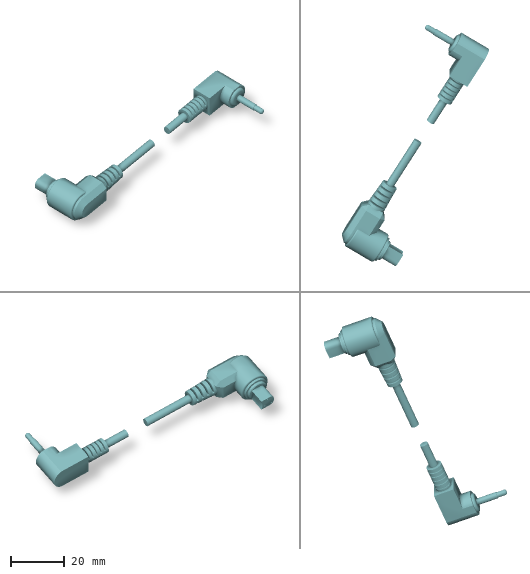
import cadquery as cq


cable_radius = 1.57
plug_cable_length = 20.0
jack_cable_length = 10.0
cable_gap = 8.85

elbow_half_width = 5.1
elbow_chamfer = 2.05
elbow_top = 13.0
barrel_radius = 6.02
barrel_left = -9.98
barrel_right = 2.1
barrel_fillet = 0.5
outer_collar_radius = 4.95
outer_collar_length = 0.9
inner_collar_radius = 4.1
inner_collar_length = 1.1
inner_collar_chamfer = 0.25

tip_left = -18.28
tip_half_width = 2.85
tip_half_height = 2.4
tip_corner_radius = 2.0
tip_groove_depth = 0.6
contact_diameter = 0.5
contact_depth = 1.0
contact_points = [(0.0, 1.95), (1.25, -1.3), (-1.65, -1.3)]

relief_length = 10.0
relief_radius = 3.0
plug_relief_base_radius = 3.5
plug_slot_count = 4
plug_slot_width = 0.78
plug_slot_pitch = 2.28
plug_slot_end_margin = 1.45
plug_web_half_height = 0.45

housing_radius = 4.8
housing_half_height = 4.5
housing_half_width = 3.95
housing_tail = 10.8
housing_right = 8.1
nose_radius = 3.8
nose_length = 1.0

pin_radius = 1.25
pin_length = 8.0
pin_end_radius = 1.05
pin_end_length = 3.92
pin_end_fillet = 0.8

jack_slot_count = 5
jack_slot_width = 0.5
jack_slot_pitch = 1.83
jack_slot_base_margin = 0.9
jack_web_half_height = 0.7

plug_relief_end = elbow_top + relief_length
plug_cable_end = plug_relief_end + plug_cable_length
jack_cable_end = plug_cable_end + cable_gap
jack_relief_end = jack_cable_end + jack_cable_length
housing_bottom = jack_relief_end + relief_length
jack_axis_y = housing_bottom + housing_tail


def rod_x(radius, start, length, axis_y=0.0):
    """Round rod along +X."""
    return cq.Workplane("YZ", origin=(start, axis_y, 0)).circle(radius).extrude(length)


def rod_y(radius, start, length):
    """Round rod along +Y on the cable axis."""
    return cq.Workplane("XZ", origin=(0, start, 0)).circle(radius).extrude(-length)


def slot_pairs(first_center, pitch, count, width, web_half_height):
    """Slots cut from above and below, leaving a flat web around Z = 0."""
    depth = 2 * plug_relief_base_radius
    slots = cq.Workplane("XY")
    for side in (1, -1):
        for index in range(count):
            center_y = first_center + index * pitch
            center_z = side * (web_half_height + depth / 2)
            slots = slots.add(
                cq.Workplane("XY").box(2 * depth, width, depth).translate((0, center_y, center_z))
            )
    return slots.combine()


def make_elbow():
    """Chamfered square block whose lower end is rounded about the plug axis."""
    half = elbow_half_width
    return (
        cq.Workplane("YZ", origin=(-half, 0, 0))
        .moveTo(0, half)
        .lineTo(elbow_top, half)
        .lineTo(elbow_top, -half)
        .lineTo(0, -half)
        .threePointArc((-half, 0), (0, half))
        .close()
        .extrude(2 * half)
        .faces("<X or >X or >Y")
        .edges()
        .chamfer(elbow_chamfer)
    )


def make_barrel():
    """Plug barrel with two stepped collars on its left end."""
    barrel = rod_x(barrel_radius, barrel_left, barrel_right - barrel_left)
    barrel = barrel.faces("<X or >X").edges().fillet(barrel_fillet)
    outer_left = barrel_left - outer_collar_length
    outer_collar = rod_x(outer_collar_radius, outer_left, outer_collar_length)
    inner_collar = rod_x(inner_collar_radius, outer_left - inner_collar_length, inner_collar_length)
    inner_collar = inner_collar.faces("<X").edges().chamfer(inner_collar_chamfer)
    return barrel.union(outer_collar).union(inner_collar)


def make_tip():
    """Keyed tip: rounded corners at -Y, a shallow hollow along +Y and blind contact holes."""
    collar_left = barrel_left - outer_collar_length - inner_collar_length
    tip = (
        cq.Workplane("YZ", origin=(tip_left, 0, 0))
        .moveTo(-tip_half_width, -tip_half_height)
        .lineTo(tip_half_width, -tip_half_height)
        .threePointArc((tip_half_width - tip_groove_depth, 0), (tip_half_width, tip_half_height))
        .lineTo(-tip_half_width, tip_half_height)
        .close()
        .extrude(collar_left - tip_left)
        .edges("|X and <Y")
        .fillet(tip_corner_radius)
    )
    contacts = (
        cq.Workplane("YZ", origin=(tip_left, 0, 0))
        .pushPoints(contact_points)
        .circle(contact_diameter / 2)
        .extrude(contact_depth)
    )
    return tip.cut(contacts)


def make_plug_relief():
    """Strain relief that tapers from the elbow to the cable."""
    base_y = elbow_top - elbow_chamfer
    slope = (plug_relief_base_radius - relief_radius) / relief_length
    base_radius = plug_relief_base_radius + slope * elbow_chamfer
    cone = (
        cq.Workplane("XY")
        .moveTo(0, base_y)
        .lineTo(base_radius, base_y)
        .lineTo(relief_radius, plug_relief_end)
        .lineTo(0, plug_relief_end)
        .close()
        .revolve(360, (0, 0, 0), (0, 1, 0))
    )
    first_slot = plug_relief_end - plug_slot_end_margin - plug_slot_width / 2
    slots = slot_pairs(
        first_slot, -plug_slot_pitch, plug_slot_count, plug_slot_width, plug_web_half_height
    )
    return cone.cut(slots)


def make_camera_plug():
    """Camera plug with its strain relief and cable stub."""
    cable = rod_y(cable_radius, plug_relief_end, plug_cable_length)
    return make_elbow().union(make_barrel()).union(make_tip()).union(make_plug_relief()).union(cable)


def make_housing():
    """Jack housing: a flat-sided barrel with a block towards the cable and a fully rounded nose."""
    left = -housing_half_width
    barrel = rod_x(housing_radius, left, housing_right - left, jack_axis_y)
    flats = cq.Workplane("XY", origin=(0, jack_axis_y, 0)).box(
        2 * (housing_right - left), 2 * housing_radius, 2 * housing_half_height
    )
    block = (
        cq.Workplane("XY")
        .box(2 * housing_half_width, housing_tail, 2 * housing_half_height)
        .translate((0, housing_bottom + housing_tail / 2, 0))
    )
    nose = rod_x(nose_radius, housing_right - nose_length, 2 * nose_length, jack_axis_y)
    nose = nose.faces(">X").edges().fillet(nose_length)
    return barrel.intersect(flats).union(block).union(nose)


def make_pin():
    """Stepped contact pin with a rounded end."""
    pin_left = housing_right + nose_length
    pin = rod_x(pin_radius, pin_left, pin_length, jack_axis_y)
    pin_end = rod_x(pin_end_radius, pin_left + pin_length, pin_end_length, jack_axis_y)
    pin_end = pin_end.faces(">X").edges().fillet(pin_end_fillet)
    return pin.union(pin_end)


def make_jack_relief():
    """Straight slotted strain relief below the jack housing."""
    sleeve = rod_y(relief_radius, jack_relief_end, relief_length)
    first_slot = housing_bottom - jack_slot_base_margin - jack_slot_width / 2
    slots = slot_pairs(
        first_slot, -jack_slot_pitch, jack_slot_count, jack_slot_width, jack_web_half_height
    )
    return sleeve.cut(slots)


def make_audio_jack():
    """Audio jack with its strain relief and cable stub."""
    cable = rod_y(cable_radius, jack_cable_end, jack_cable_length)
    return make_housing().union(make_pin()).union(make_jack_relief()).union(cable)


camera_plug = make_camera_plug()
audio_jack = make_audio_jack()
result = cq.Compound.makeCompound([camera_plug.val(), audio_jack.val()])